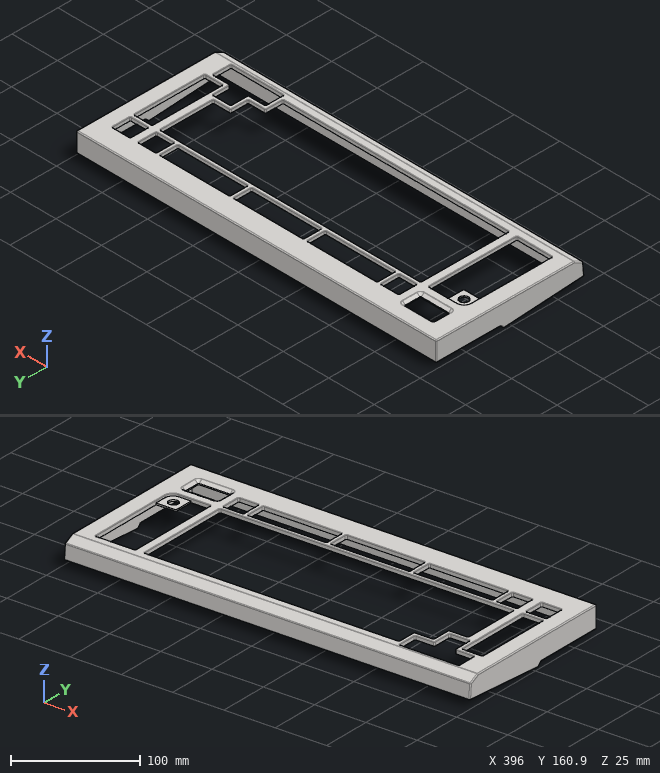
import cadquery as cq
import math

length = 396.0
depth = 161.0
height = 25.0
wall = 5.0
plate_thickness = 4.0
edge_radius = 1.0
rim_radius = 0.5

bevel_width = 10.5
bevel_drop = 4.8
front_lean = 1.0
front_drop = 19.0
back_drop = 21.5
foot_y = 6.7
foot_run = 3.5

keys_width = 286.0
keys_across = 15
pitch = keys_width / keys_across
grid_left = -133.0
grid_top = 33.3
key_clearance = 0.48
function_row = (-1.25, -0.25)
macro_columns = (-2.5, -0.5)
key_corner_radius = 1.0

knob_column = macro_columns[0] + 0.5
knob_row = 0.5
tab_recess = 2.5
tab_hole_diameter = 9.0
tab_corner_radius = 2.0
knob_corner_radius = 8.0

window_length = 38.0
window_width = 23.8
window_x = -160.5
window_y = 53.5
window_slope = 3.0
window_slope_drop = 2.8
window_corner_radius = 4.0

front = -depth / 2
back = depth / 2
plate_bottom = -plate_thickness


def grid_x(column):
    return grid_left + column * pitch


def grid_y(row):
    return grid_top - row * pitch


def slab(x0, x1, y0, y1, z0, z1):
    """Box between two opposite corners."""
    return cq.Workplane("XY").box(x1 - x0, y1 - y0, z1 - z0, centered=False).translate((x0, y0, z0))


def key_block(columns, rows):
    """Through cutter around a block of keys, widened by the clearance on every side."""
    return slab(
        grid_x(columns[0]) - key_clearance,
        grid_x(columns[1]) + key_clearance,
        grid_y(rows[1]) - key_clearance,
        grid_y(rows[0]) + key_clearance,
        -height,
        0,
    )


def make_body():
    """Wedge-shaped outer block, its top face at Z = 0."""
    profile = [
        (back, 0),
        (front + bevel_width, 0),
        (front + front_lean, -bevel_drop),
        (front, -front_drop),
        (foot_y, -height),
        (foot_y + foot_run, -back_drop),
        (back, -back_drop),
    ]
    block = cq.Workplane("YZ").polyline(profile).close().extrude(length / 2, both=True)
    return block.edges().fillet(edge_radius)


def make_cavity():
    """Space under the plate, between the side walls; the front wall is as thick as the bevel is wide."""
    side = length / 2 - wall
    return slab(-side, side, front + bevel_width, back - wall, -2 * height, plate_bottom)


def round_rims(part, radius):
    """Round the edges of every opening in the highest face."""
    rims = [edge for wire in part.faces(">Z").val().innerWires() for edge in wire.Edges()]
    return part.newObject(rims).fillet(radius)


def make_key_openings():
    """Cutters for the main block, the arrow cluster, the function row and the right column."""
    main = key_block((0, 13), (0, 5)).union(key_block((0, 14), (0, 4))).union(key_block((0, 15), (0, 3)))
    arrows = key_block((13.25, 16.25), (4.25, 5.25)).union(key_block((14.25, 15.25), (3.25, 5.25)))
    cutters = [main.clean(), arrows.clean(), key_block((15.5, 16.5), (0, 4))]
    function_columns = [(0, 1), (1.25, 5.25), (5.5, 9.5), (9.75, 13.75), (14, 15), (15.5, 16.5)]
    for columns in function_columns:
        cutters.append(key_block(columns, function_row))
    return [cutter.edges("|Z").fillet(key_corner_radius) for cutter in cutters]


def make_macro_opening():
    """Cutter for the two macro columns, with a large corner around the knob."""
    opening = key_block(macro_columns, (0, 5))
    opening = opening.edges("|Z and <X and >Y").fillet(knob_corner_radius)
    return opening.edges("|Z and (<Y or >X)").fillet(key_corner_radius)


def make_tab(opening):
    """Recessed tab in the first key place of the macro column, with a hole for the knob."""
    tab = slab(
        grid_x(macro_columns[0]) - key_clearance,
        grid_x(macro_columns[0] + 1),
        grid_y(1) + key_clearance,
        grid_y(0) + key_clearance,
        plate_bottom,
        -tab_recess,
    )
    tab = tab.edges("|Z and >X and <Y").fillet(tab_corner_radius).intersect(opening)
    hole = cq.Workplane("XY").circle(tab_hole_diameter / 2).extrude(-height)
    return tab.cut(hole.translate((grid_x(knob_column), grid_y(knob_row), 0)))


def make_window():
    """Display window cutter, its sides sloping in from the top face to a straight opening."""
    taper = math.degrees(math.atan2(window_slope, window_slope_drop))
    outline = cq.Sketch().rect(window_length, window_width).vertices().fillet(window_corner_radius)
    slope = cq.Workplane("XY").workplane(invert=True).placeSketch(outline).extrude(window_slope_drop, taper=taper)
    straight = slope.faces("<Z").wires().toPending().workplane().extrude(height)
    return straight.union(slope).translate((window_x, window_y, 0))


case = make_body().cut(make_cavity())
macro_opening = make_macro_opening()
for cutter in make_key_openings() + [macro_opening, make_window()]:
    case = case.cut(cutter)
result = round_rims(case, rim_radius).union(make_tab(macro_opening))